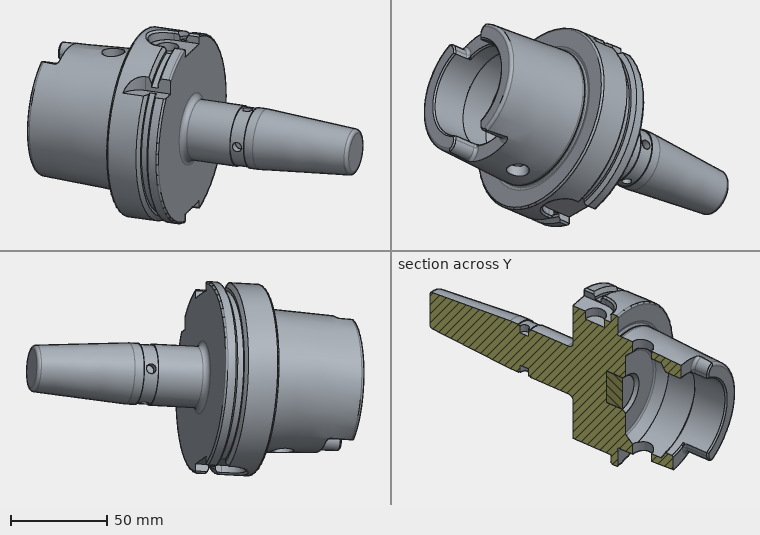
import cadquery as cq
import math

TOTAL_LENGTH = 170.0
COS_45 = math.sqrt(0.5)
CHAMFER_ANGLE = 45
OVERSHOOT = 1.7

FLANGE_START = 50.0
TAPER_END = 47.3
TAPER_END_RADIUS = 37.5
TAPER_MOUTH_RADIUS = 35.2
MOUTH_FILLET = 1.7
COLLAR_END = 48.3
UNDERCUT_START = 48.8
UNDERCUT_DEPTH = 0.2
UNDERCUT_RADIUS = TAPER_END_RADIUS - UNDERCUT_DEPTH
UNDERCUT_FILLET = 0.7
RELIEF_RADIUS = 39.6
RELIEF_DEPTH = 0.3

FLANGE_RADIUS = 50.0
FLANGE_END = 78.9
FLANGE_FILLET = 1.0
GRIP_CENTRE = 70.0
GRIP_FLOOR_RADIUS = 45.9
GRIP_FLOOR_WIDTH = 3.5
GRIP_FLANK_WIDTH = 1.5
GRIP_FLANK_HEIGHT = 2.5

NECK_RADIUS = 16.0
NECK_FILLET = 3.0
BAND_START = 105.9
BAND_END = 113.5
BAND_CENTRE = (BAND_START + BAND_END) / 2
BAND_DEPTH = 0.5
NOSE_START = 118.7
NOSE_END_RADIUS = 12.0
NOSE_FILLET = 2.0
BALANCE_HOLE_RADIUS = 2.5
BALANCE_HOLE_DEPTH = 5.1
BALANCE_HOLE_COUNT = 4

MOUTH_RADIUS = 26.5
MOUTH_CHAMFER = 0.8
MOUTH_LENGTH = 20.0
CLAMP_ANGLE = 60
CAVITY_RADIUS = 31.3
CAVITY_CONE_START = 40.0
CAVITY_CONE_ANGLE = 45
CAVITY_FLOOR_RADIUS = 25.8
CAVITY_CONE_LENGTH = (CAVITY_RADIUS - CAVITY_FLOOR_RADIUS) / math.tan(math.radians(CAVITY_CONE_ANGLE))
CAVITY_DEPTH = CAVITY_CONE_START + CAVITY_CONE_LENGTH
CAVITY_FILLET = 2.0
SEAT_RADIUS = 12.0
PLUG_RADIUS = 10.2
PLUG_START = CAVITY_DEPTH + SEAT_RADIUS - PLUG_RADIUS
PLUG_LENGTH = 10.2

DRIVE_HALF_WIDTH = 10.0
DRIVE_ROUND = 5.1
DRIVE_SHOULDER = 32.0
UPPER_DRIVE_DEPTH = 9.9
LOWER_DRIVE_DEPTH = 15.0
DRIVE_FLOOR_FILLET = 1.7
DRIVE_CHAMFER = 0.8

CROSS_HOLE_X = 34.8
CROSS_HOLE_RADIUS = 6.0

KEY_CENTRE_X = 65.0
CUTTER_RADIUS = 10.0
KEY_FLOOR = 44.0
KEY_CHAMFER = 1.2
KEY_EDGE_HALF_SPAN = CUTTER_RADIUS + OVERSHOOT
KEY_EDGE_LEVEL = FLANGE_RADIUS - OVERSHOOT
KEY_HOLE_RADIUS = 6.0
KEY_HOLE_DEPTH = 5.3
NOTCH_FLOOR = 31.3
NOTCH_WALL = 31.3


def revolved(outline):
    """Close an X-radius outline and revolve it about the X axis."""
    return outline.close().revolve(360, (0, 0, 0), (1, 0, 0))


def turned(shape, angle):
    """The shape turned about the X axis."""
    return shape.rotate((0, 0, 0), (1, 0, 0), angle)


def upright_cylinder(x, radius, bottom, top):
    """Cylinder along Z standing on the axis at position x."""
    return cq.Workplane("XY", origin=(x, 0, bottom)).circle(radius).extrude(top - bottom)


def cutter_path(centre_y, floor):
    """Round-ended cut that runs out through the rear face of the flange, open upwards."""
    run_out = FLANGE_END - KEY_CENTRE_X + OVERSHOOT
    return (
        cq.Workplane("XY", origin=(KEY_CENTRE_X, centre_y, floor))
        .moveTo(run_out, CUTTER_RADIUS)
        .lineTo(0, CUTTER_RADIUS)
        .threePointArc((-CUTTER_RADIUS, 0), (0, -CUTTER_RADIUS))
        .lineTo(run_out, -CUTTER_RADIUS)
        .close()
        .extrude(FLANGE_RADIUS + OVERSHOOT - floor)
    )


def shank():
    """Tapered shank with a rounded mouth and a filleted undercut against the flange."""
    relief_floor = FLANGE_START + RELIEF_DEPTH
    outline = (
        cq.Workplane("XZ")
        .lineTo(0, TAPER_MOUTH_RADIUS)
        .lineTo(TAPER_END, TAPER_END_RADIUS)
        .lineTo(COLLAR_END, TAPER_END_RADIUS)
        .lineTo(UNDERCUT_START, UNDERCUT_RADIUS)
        .lineTo(relief_floor - UNDERCUT_FILLET, UNDERCUT_RADIUS)
        .radiusArc((relief_floor, UNDERCUT_RADIUS + UNDERCUT_FILLET), -UNDERCUT_FILLET)
        .lineTo(GRIP_CENTRE, UNDERCUT_RADIUS + UNDERCUT_FILLET)
        .lineTo(GRIP_CENTRE, 0)
    )
    return revolved(outline).faces("<X").edges().fillet(MOUTH_FILLET)


def cavity():
    """Stepped cavity with a filleted floor, a countersunk seat and the bore of the plug."""
    shoulder_length = (CAVITY_RADIUS - MOUTH_RADIUS) / math.tan(math.radians(CLAMP_ANGLE))
    corner = CAVITY_FILLET * math.tan(math.radians(CAVITY_CONE_ANGLE / 2))
    fillet_length = corner * math.cos(math.radians(CAVITY_CONE_ANGLE))
    fillet_rise = corner * math.sin(math.radians(CAVITY_CONE_ANGLE))
    outline = (
        cq.Workplane("XZ")
        .moveTo(-OVERSHOOT, 0)
        .lineTo(-OVERSHOOT, MOUTH_RADIUS)
        .lineTo(MOUTH_LENGTH, MOUTH_RADIUS)
        .lineTo(MOUTH_LENGTH + shoulder_length, CAVITY_RADIUS)
        .lineTo(CAVITY_CONE_START, CAVITY_RADIUS)
        .lineTo(CAVITY_DEPTH - fillet_length, CAVITY_FLOOR_RADIUS + fillet_rise)
        .radiusArc((CAVITY_DEPTH, CAVITY_FLOOR_RADIUS - corner), CAVITY_FILLET)
        .lineTo(CAVITY_DEPTH, SEAT_RADIUS)
        .lineTo(PLUG_START, PLUG_RADIUS)
        .lineTo(PLUG_START + PLUG_LENGTH, PLUG_RADIUS)
        .lineTo(PLUG_START + PLUG_LENGTH, 0)
    )
    return revolved(outline)


def mouth_chamfer(start):
    """Cone that breaks the edge between the bore and a face at position start."""
    outline = (
        cq.Workplane("XZ")
        .moveTo(start, 0)
        .lineTo(start, MOUTH_RADIUS + MOUTH_CHAMFER)
        .lineTo(start + MOUTH_CHAMFER, MOUTH_RADIUS)
        .lineTo(start + MOUTH_CHAMFER, 0)
    )
    return revolved(outline)


def drive_slot_outline(x):
    """Slot between the drive lugs, whose walls round outwards to a level shoulder."""
    round_start = DRIVE_SHOULDER - DRIVE_ROUND
    shoulder_y = DRIVE_HALF_WIDTH + DRIVE_ROUND
    mid_y = shoulder_y - DRIVE_ROUND * COS_45
    mid_z = round_start + DRIVE_ROUND * COS_45
    return (
        cq.Workplane("YZ", origin=(x, 0, 0))
        .lineTo(DRIVE_HALF_WIDTH, 0)
        .lineTo(DRIVE_HALF_WIDTH, round_start)
        .threePointArc((mid_y, mid_z), (shoulder_y, DRIVE_SHOULDER))
        .lineTo(TAPER_END_RADIUS, DRIVE_SHOULDER)
        .lineTo(TAPER_END_RADIUS, FLANGE_RADIUS)
        .lineTo(-TAPER_END_RADIUS, FLANGE_RADIUS)
        .lineTo(-TAPER_END_RADIUS, DRIVE_SHOULDER)
        .lineTo(-shoulder_y, DRIVE_SHOULDER)
        .threePointArc((-mid_y, mid_z), (-DRIVE_HALF_WIDTH, round_start))
        .lineTo(-DRIVE_HALF_WIDTH, 0)
        .close()
    )


def drive_slot(depth):
    """Slot open upwards with a filleted floor, chamfered mouth and chamfered bore edge."""
    slot = drive_slot_outline(-OVERSHOOT).extrude(depth + OVERSHOOT)
    walls = cq.selectors.BoxSelector(
        (depth - DRIVE_FLOOR_FILLET, -TAPER_END_RADIUS + OVERSHOOT, OVERSHOOT),
        (depth + DRIVE_FLOOR_FILLET, TAPER_END_RADIUS - OVERSHOOT, FLANGE_RADIUS - OVERSHOOT),
    )
    slot = slot.edges(walls).fillet(DRIVE_FLOOR_FILLET)
    rim = drive_slot_outline(0).offset2D(DRIVE_CHAMFER).extrude(DRIVE_CHAMFER, taper=CHAMFER_ANGLE)
    bore_edge = mouth_chamfer(depth).intersect(drive_slot_outline(depth).extrude(MOUTH_CHAMFER))
    return slot.union(rim).union(bore_edge)


def cross_hole():
    """Hole that passes through both walls of the shank."""
    return upright_cylinder(CROSS_HOLE_X, CROSS_HOLE_RADIUS, -FLANGE_RADIUS, FLANGE_RADIUS)


def keyed_blank():
    """Plain disc with two opposite keyways whose outer edges are chamfered."""
    blank = cq.Workplane("YZ", origin=(FLANGE_START, 0, 0)).circle(FLANGE_RADIUS)
    blank = blank.extrude(FLANGE_END - FLANGE_START)
    keyway = cutter_path(0, KEY_FLOOR)
    upper_edges = cq.selectors.BoxSelector(
        (FLANGE_START, -KEY_EDGE_HALF_SPAN, KEY_EDGE_LEVEL),
        (FLANGE_END, KEY_EDGE_HALF_SPAN, FLANGE_RADIUS),
    )
    lower_edges = cq.selectors.BoxSelector(
        (FLANGE_START, -KEY_EDGE_HALF_SPAN, -FLANGE_RADIUS),
        (FLANGE_END, KEY_EDGE_HALF_SPAN, -KEY_EDGE_LEVEL),
    )
    blank = blank.cut(keyway).cut(turned(keyway, 180))
    return blank.edges(upper_edges + lower_edges).chamfer(KEY_CHAMFER)


def flange_turning():
    """Turned outline of the flange: rounded rims, gripper groove and relief ring."""
    half_floor = GRIP_FLOOR_WIDTH / 2
    half_mouth = half_floor + GRIP_FLANK_WIDTH
    flank_foot = FLANGE_RADIUS - GRIP_FLANK_HEIGHT
    outline = (
        cq.Workplane("XZ")
        .moveTo(FLANGE_START + RELIEF_DEPTH, 0)
        .lineTo(FLANGE_START + RELIEF_DEPTH, UNDERCUT_RADIUS + UNDERCUT_FILLET)
        .lineTo(FLANGE_START, RELIEF_RADIUS)
        .lineTo(FLANGE_START, FLANGE_RADIUS - FLANGE_FILLET)
        .radiusArc((FLANGE_START + FLANGE_FILLET, FLANGE_RADIUS), FLANGE_FILLET)
        .lineTo(GRIP_CENTRE - half_mouth, FLANGE_RADIUS)
        .lineTo(GRIP_CENTRE - half_floor, flank_foot)
        .lineTo(GRIP_CENTRE - half_floor, GRIP_FLOOR_RADIUS)
        .lineTo(GRIP_CENTRE + half_floor, GRIP_FLOOR_RADIUS)
        .lineTo(GRIP_CENTRE + half_floor, flank_foot)
        .lineTo(GRIP_CENTRE + half_mouth, FLANGE_RADIUS)
        .lineTo(FLANGE_END - FLANGE_FILLET, FLANGE_RADIUS)
        .radiusArc((FLANGE_END, FLANGE_RADIUS - FLANGE_FILLET), FLANGE_FILLET)
        .lineTo(FLANGE_END, 0)
    )
    return revolved(outline)


def key_hole():
    """Blind round hole in the floor of the upper keyway."""
    return upright_cylinder(KEY_CENTRE_X, KEY_HOLE_RADIUS, KEY_FLOOR - KEY_HOLE_DEPTH, FLANGE_RADIUS)


def flange():
    notch = cutter_path(-NOTCH_WALL - CUTTER_RADIUS, NOTCH_FLOOR)
    return keyed_blank().intersect(flange_turning()).cut(notch).cut(key_hole())


def neck_and_nose():
    """Neck with a root fillet and a shallow recessed band, and the conical nose."""
    outline = (
        cq.Workplane("XZ")
        .moveTo(GRIP_CENTRE, 0)
        .lineTo(GRIP_CENTRE, NECK_RADIUS + NECK_FILLET)
        .lineTo(FLANGE_END, NECK_RADIUS + NECK_FILLET)
        .radiusArc((FLANGE_END + NECK_FILLET, NECK_RADIUS), -NECK_FILLET)
        .lineTo(BAND_START, NECK_RADIUS)
        .lineTo(BAND_START, NECK_RADIUS - BAND_DEPTH)
        .lineTo(BAND_END, NECK_RADIUS - BAND_DEPTH)
        .lineTo(BAND_END, NECK_RADIUS)
        .lineTo(NOSE_START, NECK_RADIUS)
        .lineTo(TOTAL_LENGTH, NOSE_END_RADIUS)
        .lineTo(TOTAL_LENGTH, 0)
    )
    return revolved(outline).faces(">X").edges().fillet(NOSE_FILLET)


def balance_holes():
    """Blind radial holes spaced evenly around the recessed band."""
    bottom = NECK_RADIUS - BALANCE_HOLE_DEPTH
    hole = upright_cylinder(BAND_CENTRE, BALANCE_HOLE_RADIUS, bottom, NECK_RADIUS + OVERSHOOT)
    return [turned(hole, i * 360 / BALANCE_HOLE_COUNT) for i in range(BALANCE_HOLE_COUNT)]


def make_holder():
    holder = shank().union(flange()).union(neck_and_nose())
    holder = holder.cut(cavity()).cut(mouth_chamfer(0)).cut(cross_hole())
    holder = holder.cut(drive_slot(UPPER_DRIVE_DEPTH))
    holder = holder.cut(turned(drive_slot(LOWER_DRIVE_DEPTH), 180))
    for hole in balance_holes():
        holder = holder.cut(hole)
    return holder


def make_plug():
    """Round plug that fills the bore behind the countersunk seat."""
    return cq.Workplane("YZ", origin=(PLUG_START, 0, 0)).circle(PLUG_RADIUS).extrude(PLUG_LENGTH)


holder = make_holder()
plug = make_plug()
result = cq.Compound.makeCompound([holder.val(), plug.val()])